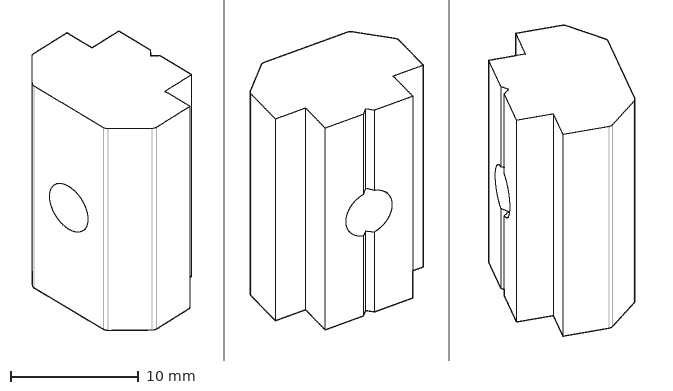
import cadquery as cq

length = 20.0
width = 13.5
depth = 9.7

neck_width = 8.0
neck_height = 3.0
corner_radius = 0.5
groove_depth = 0.5

hole_diameter = 4.25

half_width = width / 2
half_neck = neck_width / 2
shoulder_y = depth - neck_height
chamfer = half_width - half_neck


def make_body():
    """Extrude the T-shaped section and round the edges of its sloping flanks."""
    section = [
        (-half_neck, 0),
        (half_neck, 0),
        (half_width, chamfer),
        (half_width, shoulder_y),
        (half_neck, shoulder_y),
        (half_neck, depth),
        (-half_neck, depth),
        (-half_neck, shoulder_y),
        (-half_width, shoulder_y),
        (-half_width, chamfer),
    ]
    body = cq.Workplane("XY").polyline(section).close().extrude(length)
    flank_edges = cq.selectors.BoxSelector(
        (-width, -chamfer, 0), (width, (chamfer + shoulder_y) / 2, length)
    )
    return body.edges("|Z").edges(flank_edges).fillet(corner_radius)


def make_groove():
    """Right-angled V groove running along the middle of the neck face."""
    section = [
        (-groove_depth, depth),
        (0, depth - groove_depth),
        (groove_depth, depth),
    ]
    return cq.Workplane("XY").polyline(section).close().extrude(length)


def make_hole():
    """Cross hole through the full depth, halfway along the length."""
    return (
        cq.Workplane("XZ")
        .center(0, length / 2)
        .circle(hole_diameter / 2)
        .extrude(-depth)
    )


result = make_body().cut(make_groove()).cut(make_hole())